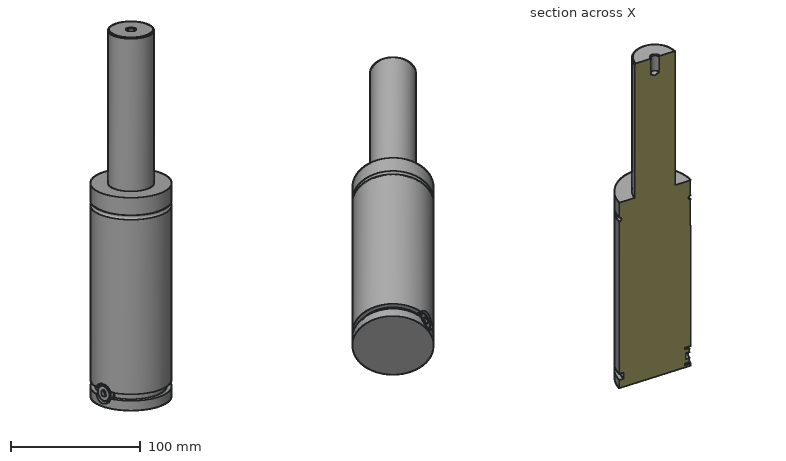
import cadquery as cq
import math

total_height = 304.0
body_diameter = 63.0
rod_diameter = 36.0
body_height = 176.5
rod_chamfer = 1.0

top_groove_radius = 1.8
top_groove_height = 160.2

base_groove_bottom = 8.2
base_groove_width = 5.5
base_groove_depth = 3.5

rod_hole_diameter = 6.7
rod_hole_rim_diameter = 8.2
rod_hole_depth = 15.2
drill_tip_angle = 118

plug_height = 10.5
recess_diameter = 16.0
recess_floor_offset = 26.5
plug_diameter = 14.0
plug_face_offset = 30.5
plug_chamfer = 1.0
socket_diameter = 5.2
socket_depth = 3.0

body_radius = body_diameter / 2


def side_cylinder(diameter, outer_offset, inner_offset):
    """Cylinder along Y between two distances in front of the main axis."""
    return (
        cq.Workplane("XZ", origin=(0, -inner_offset, plug_height))
        .circle(diameter / 2)
        .extrude(outer_offset - inner_offset)
    )


def make_body_and_rod():
    body = cq.Workplane("XY").circle(body_radius).extrude(body_height)
    rod = cq.Workplane("XY").circle(rod_diameter / 2).extrude(total_height)
    rod = rod.faces(">Z").chamfer(rod_chamfer)
    return body.union(rod)


def make_top_groove():
    """Ring of circular section centred on the body surface."""
    return (
        cq.Workplane("XZ")
        .center(body_radius, top_groove_height)
        .circle(top_groove_radius)
        .revolve(360, (-body_radius, 0, 0), (-body_radius, 1, 0))
    )


def make_base_groove():
    return (
        cq.Workplane("XY", origin=(0, 0, base_groove_bottom))
        .circle(body_radius)
        .circle(body_radius - base_groove_depth)
        .extrude(base_groove_width)
    )


def make_rod_hole():
    """Blind drilled hole with a conical bottom and a 45 degree chamfered rim."""
    hole_radius = rod_hole_diameter / 2
    rim_radius = rod_hole_rim_diameter / 2
    rim_depth = rim_radius - hole_radius
    tip_length = hole_radius / math.tan(math.radians(drill_tip_angle / 2))
    return (
        cq.Workplane("XZ", origin=(0, 0, total_height))
        .lineTo(rim_radius, 0)
        .lineTo(hole_radius, -rim_depth)
        .lineTo(hole_radius, -rod_hole_depth)
        .lineTo(0, -rod_hole_depth - tip_length)
        .close()
        .revolve(360, (0, 0, 0), (0, 1, 0))
    )


def make_plug():
    """Chamfered plug with a blind round socket in its face."""
    plug_root_offset = recess_floor_offset - socket_depth
    plug = side_cylinder(plug_diameter, plug_face_offset, plug_root_offset)
    plug = plug.faces("<Y").chamfer(plug_chamfer)
    socket = side_cylinder(socket_diameter, plug_face_offset, plug_face_offset - socket_depth)
    return plug.cut(socket)


plug_recess = side_cylinder(recess_diameter, body_radius, recess_floor_offset)

result = (
    make_body_and_rod()
    .cut(make_top_groove())
    .cut(make_base_groove())
    .cut(make_rod_hole())
    .cut(plug_recess)
    .union(make_plug())
)